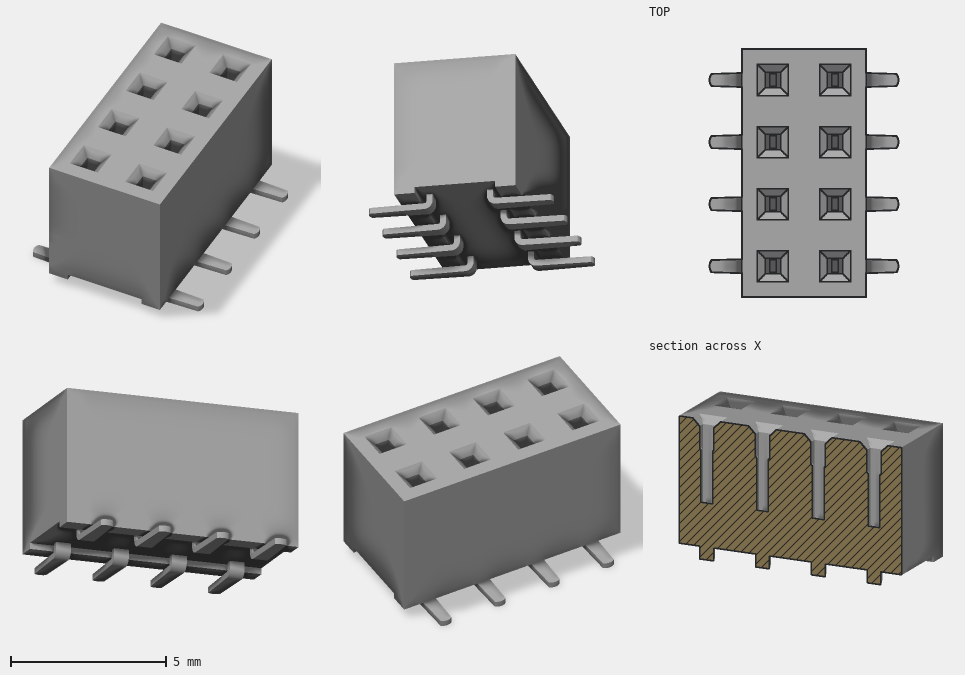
import cadquery as cq
import math

pitch = 2.0
rows = 4
columns = 2

body_width = columns * pitch
body_length = rows * pitch
body_top = 4.8
body_height = 4.5
body_bottom = body_top - body_height
channel_width = 2.66
channel_depth = 0.2
channel_ceiling = body_bottom + channel_depth

funnel_width = 1.0
hole_width = funnel_width / 2
funnel_depth = (funnel_width - hole_width) / 2
socket_depth = 3.0

metal_thickness = 0.2
tine_gap = 0.4
tine_top_depth = 1.0
web_height = 0.2
tine_protrusion = (hole_width - tine_gap) / 2

lead_reach = 3.05
lead_width = 0.51
tip_width = 0.4
tip_bulge = 0.07
bend_inner_radius = 0.08
bend_outer_radius = bend_inner_radius + metal_thickness
lead_embed = 0.48


def make_housing():
    """Block with a full-length channel along the underside."""
    block = cq.Workplane("XY").workplane(offset=body_bottom).rect(body_width, body_length)
    block = block.extrude(body_height)
    channel = cq.Workplane("XY").workplane(offset=body_bottom).rect(channel_width, body_length)
    return block.cut(channel.extrude(channel_depth))


def make_socket_cutter():
    """Funnel and blind hole on the Z axis, opening at the top of the housing."""
    funnel = (
        cq.Workplane("XY")
        .workplane(offset=body_top)
        .rect(funnel_width, funnel_width)
        .workplane(offset=-funnel_depth)
        .rect(hole_width, hole_width)
        .loft(ruled=True)
    )
    hole = cq.Workplane("XY").workplane(offset=body_top - socket_depth).rect(hole_width, hole_width)
    return funnel.union(hole.extrude(socket_depth - funnel_depth))


def make_contact():
    """Contact standing on the socket floor, the tine tops sloping down into the gap."""
    wall = hole_width / 2
    face = tine_gap / 2
    floor = body_top - socket_depth
    web_top = floor + web_height
    crest = body_top - tine_top_depth
    shoulder = crest - tine_protrusion
    outline = [
        (-wall, floor),
        (wall, floor),
        (wall, crest),
        (face, shoulder),
        (face, web_top),
        (-face, web_top),
        (-face, shoulder),
        (-wall, crest),
    ]
    profile = cq.Workplane("YZ").polyline(outline).close()
    return profile.extrude(metal_thickness / 2, both=True)


def make_lead():
    """Lead for the +X column at Y = 0: upright leg, bend and tapered foot with a rounded tip."""
    leg_inner = (pitch - metal_thickness) / 2
    leg_outer = leg_inner + metal_thickness
    leg_top = channel_ceiling + lead_embed
    bend_x = leg_outer + bend_inner_radius
    bend_z = bend_outer_radius
    diagonal = math.sqrt(0.5)
    strip = (
        cq.Workplane("XZ")
        .moveTo(leg_inner, leg_top)
        .lineTo(leg_inner, bend_z)
        .threePointArc(
            (bend_x - bend_outer_radius * diagonal, bend_z - bend_outer_radius * diagonal),
            (bend_x, 0),
        )
        .lineTo(lead_reach, 0)
        .lineTo(lead_reach, metal_thickness)
        .lineTo(bend_x, metal_thickness)
        .threePointArc(
            (bend_x - bend_inner_radius * diagonal, bend_z - bend_inner_radius * diagonal),
            (leg_outer, bend_z),
        )
        .lineTo(leg_outer, leg_top)
        .close()
        .extrude(lead_width / 2, both=True)
    )
    tip_x = lead_reach - tip_bulge
    plan = (
        cq.Workplane("XY")
        .moveTo(leg_inner, -lead_width / 2)
        .lineTo(bend_x, -lead_width / 2)
        .lineTo(tip_x, -tip_width / 2)
        .threePointArc((lead_reach, 0), (tip_x, tip_width / 2))
        .lineTo(bend_x, lead_width / 2)
        .lineTo(leg_inner, lead_width / 2)
        .close()
        .extrude(leg_top)
    )
    return strip.intersect(plan)


socket_cutter = make_socket_cutter()
contact = make_contact()
right_lead = make_lead()
left_lead = right_lead.mirror("YZ")

result = make_housing()
for row in range(rows):
    y = (row - (rows - 1) / 2) * pitch
    for column in range(columns):
        x = (column - (columns - 1) / 2) * pitch
        result = result.cut(socket_cutter.translate((x, y, 0)))
        result = result.union(contact.translate((x, y, 0)))
    result = result.union(right_lead.translate((0, y, 0)))
    result = result.union(left_lead.translate((0, y, 0)))